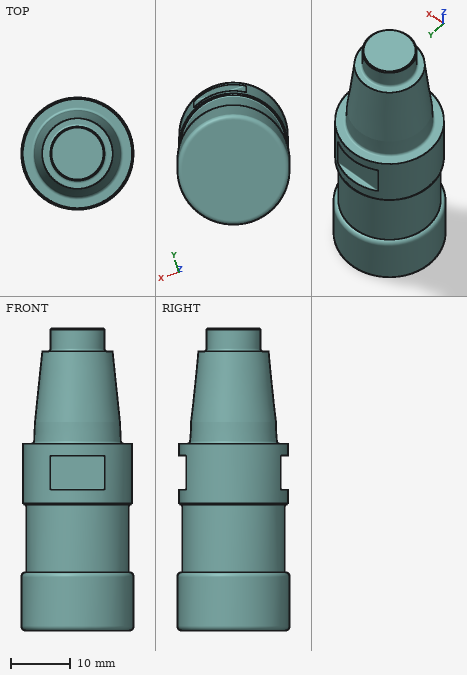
import cadquery as cq

cap_diameter = 19.07
cap_height = 9.95

sleeve_diameter = 17.45
collar_diameter = 18.49
collar_bottom = 21.65
collar_top = 31.72
collar_chamfer = 0.25

flat_spacing = 16.02
flat_bottom = 23.9
flat_top = 29.7
flat_corner_radius = 0.2

skirt_bottom_diameter = 14.75
skirt_top_diameter = 14.45
skirt_top = 35.35
cone_top_diameter = 11.95
cone_top = 47.35

stub_diameter = 9.2
stub_top = 51.25
stub_edge_chamfer = 0.2

root_fillet = 0.45


def make_cap():
    """Round cap whose upper edge curves in to meet the sleeve."""
    cap_edge_radius = (cap_diameter - sleeve_diameter) / 2
    cap = cq.Workplane("XY").circle(cap_diameter / 2).extrude(cap_height)
    return cap.faces("<Z or >Z").edges().fillet(cap_edge_radius)


def make_turned_body():
    """Sleeve, collar, strain relief and cable stub as one revolved profile."""
    sleeve_r = sleeve_diameter / 2
    collar_r = collar_diameter / 2
    skirt_r = skirt_bottom_diameter / 2
    stub_r = stub_diameter / 2
    collar_underside = collar_bottom - collar_chamfer
    collar_root_radius = collar_r - collar_chamfer - sleeve_r
    profile = (
        cq.Workplane("XZ")
        .moveTo(0, cap_height)
        .lineTo(sleeve_r, cap_height)
        .lineTo(sleeve_r, collar_underside - collar_root_radius)
        .radiusArc((sleeve_r + collar_root_radius, collar_underside), collar_root_radius)
        .lineTo(collar_r, collar_bottom)
        .lineTo(collar_r, collar_top)
        .lineTo(skirt_r + root_fillet, collar_top)
        .radiusArc((skirt_r, collar_top + root_fillet), root_fillet)
        .lineTo(skirt_top_diameter / 2, skirt_top)
        .lineTo(cone_top_diameter / 2, cone_top)
        .lineTo(stub_r + root_fillet, cone_top)
        .radiusArc((stub_r, cone_top + root_fillet), root_fillet)
        .lineTo(stub_r, stub_top - stub_edge_chamfer)
        .lineTo(stub_r - stub_edge_chamfer, stub_top)
        .lineTo(0, stub_top)
        .close()
    )
    return profile.revolve(360, (0, 0, 0), (0, 1, 0))


def cut_wrench_flats(body):
    """Mill two opposite flats whose floors end in small inner radii."""
    flat_height = flat_top - flat_bottom
    flat_centre = (flat_bottom + flat_top) / 2
    cutter_distance = (flat_spacing + collar_diameter) / 2
    for side, floor_edges in ((-1, ">Y and |X"), (1, "<Y and |X")):
        cutter = (
            cq.Workplane("XY")
            .box(collar_diameter, collar_diameter, flat_height)
            .edges(floor_edges)
            .fillet(flat_corner_radius)
            .translate((0, side * cutter_distance, flat_centre))
        )
        body = body.cut(cutter)
    return body


cap = make_cap()
connector_body = cut_wrench_flats(make_turned_body())

result = cq.Compound.makeCompound([cap.val(), connector_body.val()])